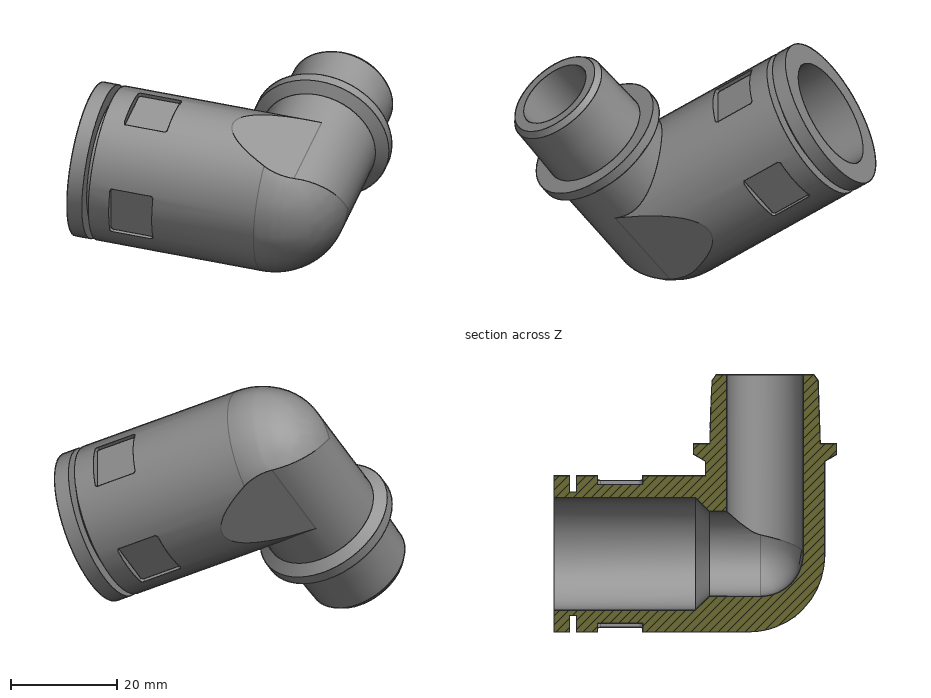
import cadquery as cq
import math

tube_radius = 29.5 / 2
dome_start = 36.75
groove_start = 3.0
groove_end = 4.25
groove_radius = 23.4 / 2

flange_radius = 27.0 / 2
branch_x = 53.25 - flange_radius
branch_radius = 22.5 / 2
elbow_end = branch_x + branch_radius
branch_end = 48.5 - tube_radius
flange_cone_start = 17.4
flange_rim_start = 18.75
flange_end = 20.75
spigot_base_radius = 20.9 / 2
spigot_tip_radius = 20.1 / 2
spigot_chamfer_radius = 18.4 / 2
spigot_chamfer_length = 1.1

flat_angle = math.radians(15)
tangent_x = branch_x + branch_radius * math.sin(flat_angle)
tangent_z = branch_radius * math.cos(flat_angle)

recess_start = 8.25
recess_end = 16.7
recess_width = 10.1
recess_depth = 1.65
recess_corner_radius = 0.55

cut_clearance = 0.55

socket_radius = 21.2 / 2
socket_depth = 26.6
seat_length = 2.65
bore_radius = 16 / 2
branch_bore_radius = 7.2


def rounded_rod(radius, length, end_radius):
    """Rod along +X from x = 0 whose far end is rounded by end_radius."""
    profile = (
        cq.Workplane("XY")
        .lineTo(length, 0)
        .lineTo(length, radius - end_radius)
        .radiusArc((length - end_radius, radius), -end_radius)
        .lineTo(0, radius)
        .close()
    )
    return profile.revolve(360, (0, 0, 0), (1, 0, 0))


def main_tube():
    """Straight tube with two sloping flats that narrow it to the branch width."""
    start_z = tangent_z + tangent_x * math.tan(flat_angle)
    wedge = (
        cq.Workplane("XZ")
        .moveTo(0, -start_z)
        .lineTo(tangent_x, -tangent_z)
        .lineTo(tangent_x, tangent_z)
        .lineTo(0, start_z)
        .close()
        .extrude(tube_radius + cut_clearance, both=True)
    )
    return cq.Workplane("YZ").circle(tube_radius).extrude(tangent_x).intersect(wedge)


def outer_corner():
    """Material outside the rounded elbow, on the side away from the branch."""
    corner_start = branch_x - branch_radius - cut_clearance
    block = cq.Workplane("XY").box(
        elbow_end + cut_clearance - corner_start,
        tube_radius + cut_clearance,
        2 * (tube_radius + cut_clearance),
        centered=(False, False, True),
    )
    block = block.translate((corner_start, -tube_radius - cut_clearance, 0))
    return block.cut(rounded_rod(tube_radius, elbow_end, elbow_end - dome_start))


def branch():
    """Neck, flange and tapered spigot turned about the branch axis."""
    outline = [
        (0, -tube_radius),
        (branch_radius, -tube_radius),
        (branch_radius, flange_cone_start),
        (flange_radius, flange_rim_start),
        (flange_radius, flange_end),
        (spigot_base_radius, flange_end),
        (spigot_tip_radius, branch_end - spigot_chamfer_length),
        (spigot_chamfer_radius, branch_end),
        (0, branch_end),
    ]
    turned = cq.Workplane("XY").polyline(outline).close().revolve(360, (0, 0, 0), (0, 1, 0))
    return turned.translate((branch_x, 0, 0))


def groove():
    """Ring that cuts the groove near the open end."""
    return (
        cq.Workplane("YZ")
        .workplane(offset=groove_start)
        .circle(tube_radius + cut_clearance)
        .circle(groove_radius)
        .extrude(groove_end - groove_start)
    )


def recess(angle):
    """Block that cuts one flat-bottomed recess, turned by angle about X."""
    block = (
        cq.Workplane("XY")
        .workplane(offset=tube_radius - recess_depth)
        .center((recess_start + recess_end) / 2, 0)
        .rect(recess_end - recess_start, recess_width)
        .extrude(recess_depth + cut_clearance)
        .edges("|Z")
        .fillet(recess_corner_radius)
    )
    return block.rotate((0, 0, 0), (1, 0, 0), angle)


def passage():
    """Socket, conical seat and round-ended bore, joined to the branch bore."""
    socket_outline = [
        (0, 0),
        (0, socket_radius),
        (socket_depth, socket_radius),
        (socket_depth + seat_length, bore_radius),
        (socket_depth + seat_length, 0),
    ]
    socket = cq.Workplane("XY").polyline(socket_outline).close().revolve(360, (0, 0, 0), (1, 0, 0))
    bore_end = branch_x + branch_bore_radius
    bore = cq.Workplane("YZ").circle(bore_radius).extrude(bore_end - bore_radius)
    ball = cq.Workplane("XY", origin=(bore_end - bore_radius, 0, 0)).sphere(bore_radius)
    branch_bore = (
        cq.Workplane("XZ", origin=(branch_x, 0, 0)).circle(branch_bore_radius).extrude(-branch_end)
    )
    return socket.union(bore).union(ball).union(branch_bore)


body = main_tube().union(branch())
body = body.cut(outer_corner())
body = body.cut(groove())
for recess_angle in (0, 90, 180, 270):
    body = body.cut(recess(recess_angle))
result = body.cut(passage())